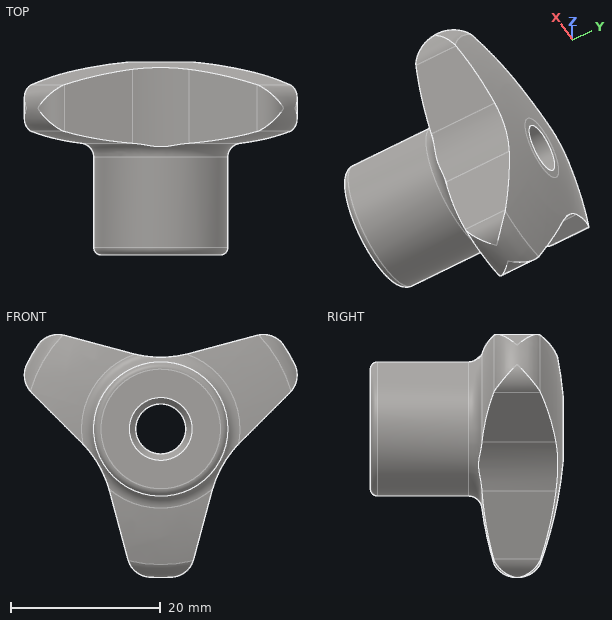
import cadquery as cq
import math

lobe_count = 3
lobe_pitch = 360 / lobe_count
total_depth = 25.85

tip_radius = 19.9
valley_distance = 9.6
valley_round = 14.6
side_taper = math.radians(15)
corner_round = 3.3

back_flat_radius = 4.4
back_mid_radius = 11.15
back_mid_depth = 1.05
shoulder_radius = 18.15
back_shoulder_depth = 3.1
front_shoulder_depth = 9.25
front_mid_radius = 14.6
front_mid_depth = 10.2

hub_radius = 9.0
hub_start_depth = 12.7
root_fillet = 1.83
root_outer_radius = 10.6
hub_end_round = 1.0
bore_diameter = 6.65
counterbore_diameter = 8.4
counterbore_depth = 1.15
bore_cone_end_depth = 2.7


def polar(radius, angle_degrees):
    """Point at a radius and angle around the knob axis."""
    angle = math.radians(angle_degrees)
    return (radius * math.cos(angle), radius * math.sin(angle))


def turned_body():
    """Head and hub turned as one piece about the Y axis."""
    root_center = (hub_radius + root_fillet, hub_start_depth)
    root_drop = math.sqrt(root_fillet**2 - (root_center[0] - root_outer_radius) ** 2)
    root_outer_depth = root_center[1] - root_drop
    root_mid = (
        root_center[0] - root_fillet * math.sqrt(0.5),
        root_center[1] - root_fillet * math.sqrt(0.5),
    )
    rim_mid_depth = (back_shoulder_depth + front_shoulder_depth) / 2
    profile = (
        cq.Workplane("XY")
        .lineTo(back_flat_radius, 0)
        .threePointArc((back_mid_radius, -back_mid_depth), (shoulder_radius, -back_shoulder_depth))
        .threePointArc((tip_radius, -rim_mid_depth), (shoulder_radius, -front_shoulder_depth))
        .threePointArc((front_mid_radius, -front_mid_depth), (root_outer_radius, -root_outer_depth))
        .threePointArc((root_mid[0], -root_mid[1]), (hub_radius, -hub_start_depth))
        .lineTo(hub_radius, -total_depth)
        .lineTo(0, -total_depth)
        .close()
    )
    body = profile.revolve(360, (0, 0, 0), (0, 1, 0))
    return body.faces("<Y").edges().fillet(hub_end_round)


def lobe_prism():
    """Straight prism with the three-lobed outline, as deep as the whole knob."""
    valley_corner = valley_distance - valley_round * (1 / math.cos(side_taper) - 1)
    half_pitch = lobe_pitch / 2
    side_offset = valley_corner * math.sin(math.radians(half_pitch) + side_taper)
    tip_half_angle = math.degrees(math.asin(side_offset / tip_radius) - side_taper)

    lobe_angles = [-90 + i * lobe_pitch for i in range(lobe_count)]
    outline = cq.Workplane("XZ").moveTo(*polar(valley_corner, lobe_angles[0] - half_pitch))
    for angle in lobe_angles:
        outline = (
            outline.lineTo(*polar(tip_radius, angle - tip_half_angle))
            .threePointArc(polar(tip_radius, angle), polar(tip_radius, angle + tip_half_angle))
            .lineTo(*polar(valley_corner, angle + half_pitch))
        )
    prism = outline.close().extrude(total_depth)

    valley_limit = (valley_corner + tip_radius) / 2
    valley_edges = prism.edges("|Y").filter(
        lambda e: math.hypot(e.Center().x, e.Center().z) < valley_limit
    )
    prism = valley_edges.fillet(valley_round)
    tip_edges = prism.edges("|Y").filter(
        lambda e: math.hypot(e.Center().x, e.Center().z) > tip_radius - corner_round / 2
    )
    return tip_edges.fillet(corner_round)


def bore():
    """Through bore, entered from the hub end by a counterbore that narrows in a cone."""
    counterbore_floor = total_depth - counterbore_depth
    cone_end = total_depth - bore_cone_end_depth
    return (
        cq.Workplane("XY")
        .lineTo(bore_diameter / 2, 0)
        .lineTo(bore_diameter / 2, -cone_end)
        .lineTo(counterbore_diameter / 2, -counterbore_floor)
        .lineTo(counterbore_diameter / 2, -total_depth)
        .lineTo(0, -total_depth)
        .close()
        .revolve(360, (0, 0, 0), (0, 1, 0))
    )


hub_keep = cq.Workplane("XZ").circle(hub_radius).extrude(total_depth)
result = turned_body().intersect(lobe_prism().union(hub_keep)).cut(bore())